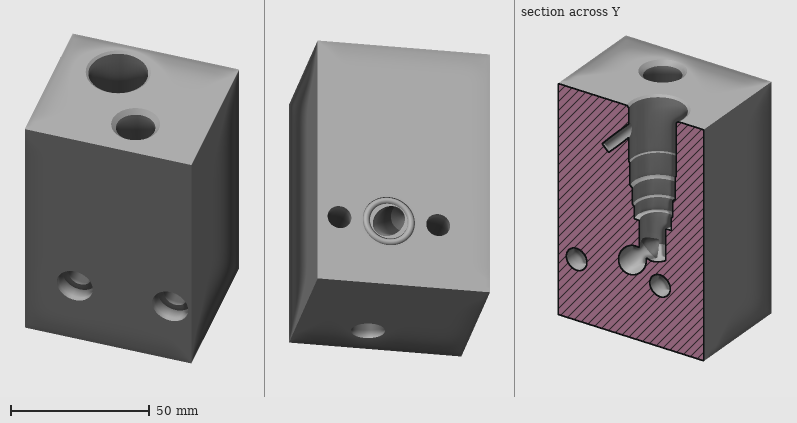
import cadquery as cq
import math

WIDTH = 63.5
DEPTH = 55.5
HEIGHT = 95.25

CAVITY_X = -9.4
CAVITY_Y = 40.6
MOUTH_RADIUS = 11.8
MOUTH_CHAMFER_DEPTH = 0.8
UPPER_BORE_RADIUS = 10.9
UPPER_BORE_DEPTH = 22.9
MIDDLE_BORE_RADIUS = 10.4
MIDDLE_BORE_DEPTH = 32.4
LOWER_BORE_RADIUS = 9.3
LOWER_BORE_DEPTH = 40.0
SEAT_RADIUS = 8.7
SEAT_DEPTH = 45.7
NOSE_RADIUS = 6.7
NOSE_DEPTH = 58.9
NOSE_POINT_ANGLE = 118.0

LINE_X = 5.5
LINE_Y = 15.1
LINE_MOUTH_RADIUS = 8.9
LINE_THREAD_RADIUS = 7.1
LINE_THREAD_DEPTH = 19.05
LINE_RADIUS = 6.2

PORT_X = LINE_X
PORT_Z = 25.2
PORT_RADIUS = 5.2
PORT_RUN = 19.6
PORT_RISE = 10.5
PORT_AZIMUTH = 62.0
PORT_POINT_ANGLE = 90.0

SCREW_SPACING = 36.4
SCREW_RADIUS = 4.4
SCREW_HEAD_RADIUS = 6.9
SCREW_HEAD_DEPTH = 6.2

PILOT_RADIUS = 2.0
PILOT_ENTRY_ANGLE = 15.0
PILOT_ENTRY_DEPTH = 10.3
PILOT_AZIMUTH = 7.0
PILOT_DESCENT = 45.0
PILOT_LENGTH = 14.3

RING_MEAN_RADIUS = 8.3
RING_SECTION_RADIUS = 1.3
RING_PROTRUSION = 0.5
GROOVE_DEPTH = 2 * RING_SECTION_RADIUS - RING_PROTRUSION


def point_length(radius, point_angle):
    """Length of a drill point with the given included angle."""
    return radius / math.tan(math.radians(point_angle / 2))


def direction(azimuth, descent=0.0):
    """Unit vector turned by azimuth from +X about Z and tilted down by descent, in degrees."""
    turn = math.radians(azimuth)
    tilt = math.radians(descent)
    level = math.cos(tilt)
    return cq.Vector(level * math.cos(turn), level * math.sin(turn), -math.sin(tilt))


def turned_bore(profile, x, y):
    """Vertical bore in the top face, turned from (radius, height) points."""
    return (
        cq.Workplane("XZ")
        .polyline(profile)
        .close()
        .revolve(360, (0, 0, 0), (0, 1, 0))
        .translate((x, y, HEIGHT))
    )


def rod(start, axis, radius, length):
    """Slanted cylinder that starts at the given point."""
    return cq.Workplane(cq.Plane(origin=start, normal=axis)).circle(radius).extrude(length)


def valve_cavity():
    upper_taper = UPPER_BORE_RADIUS - MIDDLE_BORE_RADIUS
    middle_taper = MIDDLE_BORE_RADIUS - LOWER_BORE_RADIUS
    lower_taper = LOWER_BORE_RADIUS - SEAT_RADIUS
    tip_depth = NOSE_DEPTH + point_length(NOSE_RADIUS, NOSE_POINT_ANGLE)
    profile = [
        (0, 0),
        (MOUTH_RADIUS, 0),
        (UPPER_BORE_RADIUS, -MOUTH_CHAMFER_DEPTH),
        (UPPER_BORE_RADIUS, -UPPER_BORE_DEPTH),
        (MIDDLE_BORE_RADIUS, -UPPER_BORE_DEPTH - upper_taper),
        (MIDDLE_BORE_RADIUS, -MIDDLE_BORE_DEPTH),
        (LOWER_BORE_RADIUS, -MIDDLE_BORE_DEPTH - middle_taper),
        (LOWER_BORE_RADIUS, -LOWER_BORE_DEPTH),
        (SEAT_RADIUS, -LOWER_BORE_DEPTH - lower_taper),
        (SEAT_RADIUS, -SEAT_DEPTH),
        (NOSE_RADIUS, -SEAT_DEPTH),
        (NOSE_RADIUS, -NOSE_DEPTH),
        (0, -tip_depth),
    ]
    return turned_bore(profile, CAVITY_X, CAVITY_Y)


def line_port():
    countersink_depth = LINE_MOUTH_RADIUS - LINE_THREAD_RADIUS
    profile = [
        (0, 0),
        (LINE_MOUTH_RADIUS, 0),
        (LINE_THREAD_RADIUS, -countersink_depth),
        (LINE_THREAD_RADIUS, -LINE_THREAD_DEPTH),
        (LINE_RADIUS, -LINE_THREAD_DEPTH),
        (LINE_RADIUS, -HEIGHT),
        (0, -HEIGHT),
    ]
    return turned_bore(profile, LINE_X, LINE_Y)


def face_port():
    mouth = cq.Vector(PORT_X, DEPTH, PORT_Z)
    climb = direction(PORT_AZIMUTH) * -PORT_RUN + cq.Vector(0, 0, PORT_RISE)
    axis = climb.normalized()
    lead_in = 2 * PORT_RADIUS
    shank = rod(mouth - axis * lead_in, axis, PORT_RADIUS, lead_in + climb.Length)
    tip = point_length(PORT_RADIUS, PORT_POINT_ANGLE)
    point = cq.Solid.makeCone(PORT_RADIUS, 0, tip, mouth + climb, axis)
    return shank.union(cq.Workplane(obj=point))


def screw_hole(x):
    front = cq.Workplane("XZ", origin=(x, 0, PORT_Z))
    shank = front.circle(SCREW_RADIUS).extrude(-DEPTH)
    head = front.circle(SCREW_HEAD_RADIUS).extrude(-SCREW_HEAD_DEPTH)
    return shank.union(head)


def pilot_drilling():
    axis = direction(PILOT_AZIMUTH, PILOT_DESCENT)
    cavity_top = cq.Vector(CAVITY_X, CAVITY_Y, HEIGHT)
    entry = cavity_top + direction(PILOT_ENTRY_ANGLE) * UPPER_BORE_RADIUS - cq.Vector(0, 0, PILOT_ENTRY_DEPTH)
    lead_in = 2 * PILOT_RADIUS
    return rod(entry - axis * lead_in, axis, PILOT_RADIUS, lead_in + PILOT_LENGTH)


def ring_groove():
    return (
        cq.Workplane("XZ", origin=(PORT_X, DEPTH, PORT_Z))
        .circle(RING_MEAN_RADIUS + RING_SECTION_RADIUS)
        .circle(RING_MEAN_RADIUS - RING_SECTION_RADIUS)
        .extrude(GROOVE_DEPTH)
    )


def make_block():
    block = cq.Workplane("XY").box(WIDTH, DEPTH, HEIGHT, centered=(True, False, False))
    block = block.cut(valve_cavity())
    block = block.cut(line_port())
    block = block.cut(face_port())
    block = block.cut(pilot_drilling())
    block = block.cut(ring_groove())
    for side in (-1, 1):
        block = block.cut(screw_hole(PORT_X + side * SCREW_SPACING / 2))
    return block


def make_o_ring():
    """Torus that rests on the groove floor and stands proud of the back face."""
    centre = cq.Vector(PORT_X, DEPTH - GROOVE_DEPTH + RING_SECTION_RADIUS, PORT_Z)
    return cq.Solid.makeTorus(RING_MEAN_RADIUS, RING_SECTION_RADIUS, centre, cq.Vector(0, 1, 0))


block = make_block()
o_ring = make_o_ring()
result = cq.Compound.makeCompound([block.val(), o_ring])